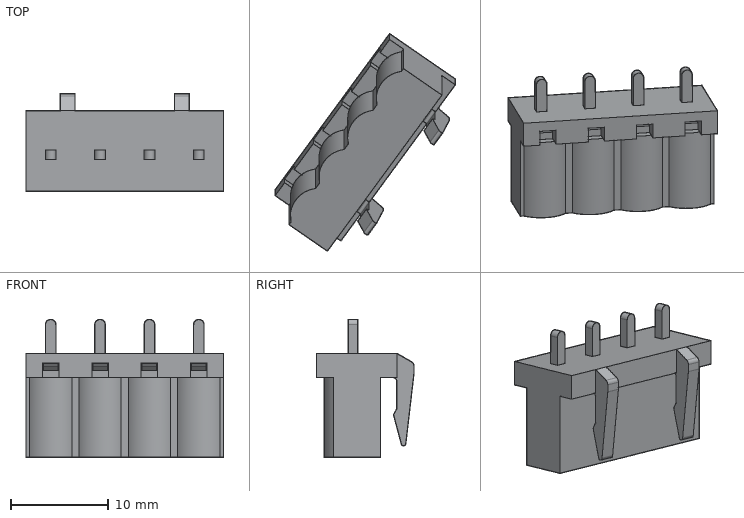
import cadquery as cq
import math


ways = 4
pitch = 5.08
length = ways * pitch

housing_height = 8.2
flange_height = 2.5
flange_depth = 8.3
flange_bottom = housing_height
flange_top = flange_bottom + flange_height
housing_front = 1.75
housing_back = 6.6

column_front = 0.8
column_width = 4.35

pin_width = 1.1
pin_depth = 1.0
pin_height = 3.5
pin_y = 3.77

notch_width = 1.7
notch_height = 1.5
notch_back = housing_front
ledge_height = 0.72
ledge_depth = 0.48

detent_width = 1.5
detent_height = 0.67
detent_slope_height = ledge_depth

latch_width = 1.55
latch_spacing = 11.75
latch_reach = 1.75
latch_inner_gap = 0.05
shoulder_angle = math.radians(30)
shoulder_radius = 0.5
latch_straight_drop = 2.05
tip_drop = 9.5
tip_radius = 0.25
tip_offset = 0.66
barb_projection = 0.38
barb_peak_drop = 6.3
barb_root_drop = 5.7
root_radius = 0.35


def box(x_center, width, y_front, y_back, z_bottom, z_top):
    """Box centred on x_center, between the given Y and Z limits."""
    return cq.Workplane("XY").box(
        width, y_back - y_front, z_top - z_bottom, centered=(True, False, False)
    ).translate((x_center, y_front, z_bottom))


def column(x_center):
    """Housing column whose front is a circular arc."""
    half_width = column_width / 2
    return (
        cq.Workplane("XY")
        .moveTo(x_center - half_width, housing_back)
        .lineTo(x_center - half_width, housing_front)
        .threePointArc((x_center, column_front), (x_center + half_width, housing_front))
        .lineTo(x_center + half_width, housing_back)
        .close()
        .extrude(housing_height)
    )


def notch(x_center):
    """Cutter through the front lip, stepping further back above a ledge."""
    notch_top = flange_bottom + notch_height
    ledge = flange_bottom + ledge_height
    opening = box(x_center, notch_width, 0, notch_back, flange_bottom, notch_top)
    recess = box(x_center, notch_width, 0, notch_back + ledge_depth, ledge, notch_top)
    return opening.union(recess)


def detent(x_center):
    """Block on the recessed wall; its underside slopes down and back to the ledge."""
    base = flange_bottom + ledge_height
    wall_y = notch_back + ledge_depth
    return (
        cq.Workplane("YZ")
        .moveTo(wall_y, base)
        .lineTo(notch_back, base + detent_slope_height)
        .lineTo(notch_back, base + detent_height)
        .lineTo(wall_y, base + detent_height)
        .close()
        .extrude(detent_width)
        .translate((x_center - detent_width / 2, 0, 0))
    )


def pin(x_center):
    """Flat contact pin with a fully rounded end."""
    blank = box(
        x_center, pin_width, pin_y - pin_depth / 2, pin_y + pin_depth / 2,
        flange_top, flange_top + pin_height - pin_width / 2,
    )
    cap = (
        cq.Workplane("XZ")
        .center(x_center, flange_top + pin_height - pin_width / 2)
        .circle(pin_width / 2)
        .extrude(pin_depth)
        .translate((0, pin_y + pin_depth / 2, 0))
    )
    return blank.union(cap)


def latch(x_center):
    """Snap latch: sloped shoulder, tapering arm, rounded tip and inner barb."""
    shoulder_drop = latch_reach * math.tan(shoulder_angle)
    turn = math.pi / 2 - shoulder_angle
    tangent = shoulder_radius * math.tan(turn / 2)
    fillet_center = (latch_reach - shoulder_radius, shoulder_drop + tangent)
    slope_end = (
        latch_reach - tangent * math.cos(shoulder_angle),
        shoulder_drop - tangent * math.sin(shoulder_angle),
    )
    fillet_middle = (
        fillet_center[0] + shoulder_radius * math.cos(turn / 2),
        fillet_center[1] - shoulder_radius * math.sin(turn / 2),
    )
    root_middle = root_radius * (1 - math.sqrt(0.5))

    def point(outward, drop):
        return (flange_depth + outward, flange_top - drop)

    return (
        cq.Workplane("YZ")
        .moveTo(*point(0, 0))
        .lineTo(*point(*slope_end))
        .threePointArc(point(*fillet_middle), point(latch_reach, fillet_center[1]))
        .lineTo(*point(latch_reach, latch_straight_drop))
        .lineTo(*point(tip_offset + tip_radius, tip_drop - tip_radius))
        .threePointArc(
            point(tip_offset, tip_drop),
            point(tip_offset - tip_radius, tip_drop - tip_radius),
        )
        .lineTo(*point(-barb_projection, barb_peak_drop))
        .lineTo(*point(-latch_inner_gap, barb_root_drop))
        .lineTo(*point(-latch_inner_gap, flange_height + root_radius))
        .threePointArc(
            point(-latch_inner_gap - root_middle, flange_height + root_middle),
            point(-latch_inner_gap - root_radius, flange_height),
        )
        .lineTo(*point(-latch_inner_gap - root_radius, 0))
        .close()
        .extrude(latch_width)
        .translate((x_center - latch_width / 2, 0, 0))
    )


middle = length / 2
way_centers = [(way + 0.5) * pitch for way in range(ways)]

result = box(middle, length, 0, flange_depth, flange_bottom, flange_top)
result = result.union(box(middle, length, housing_front, housing_back, 0, housing_height))

for x in way_centers:
    result = result.cut(notch(x))
    result = result.union(column(x))
    result = result.union(detent(x))
    result = result.union(pin(x))

for side in (-1, 1):
    result = result.union(latch(middle + side * latch_spacing / 2))